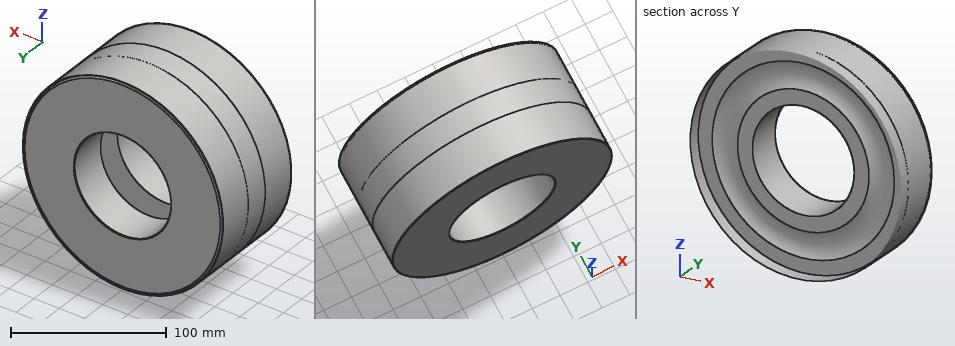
import cadquery as cq

outer_diameter = 158.8
bore_diameter = 76.2
total_width = 76.2
gap_width = 18.4
front_plate_diameter = 157.8
rear_plate_diameter = 157.3
rear_face_diameter = 154.6
sleeve_setback = 0.5
bore_chamfer = 0.5
groove_centre_radius = 58.7
groove_half_width = 9.5
groove_depth = 3.2

half_width = total_width / 2
half_gap = gap_width / 2
rim_chamfer = (rear_plate_diameter - rear_face_diameter) / 2

bore_edge = cq.selectors.RadiusNthSelector(0)
rim_edge = cq.selectors.RadiusNthSelector(-1)


def ring(inner_diameter, ring_diameter, start_y, end_y):
    """Plain ring about Y between two places along the axis."""
    sketch = cq.Workplane("XZ", origin=(0, end_y, 0)).circle(ring_diameter / 2).circle(inner_diameter / 2)
    return sketch.extrude(end_y - start_y)


def make_front_plate():
    """Plain thick ring with a chamfered bore mouth."""
    plate = ring(bore_diameter, front_plate_diameter, -half_width, -half_gap)
    return plate.faces("<Y").edges(bore_edge).chamfer(bore_chamfer)


def raceway_cutter():
    """Circular segment turned about Y; its arc is the floor of the groove."""
    return (
        cq.Workplane("XY")
        .moveTo(groove_centre_radius - groove_half_width, half_gap)
        .threePointArc(
            (groove_centre_radius, half_gap + groove_depth),
            (groove_centre_radius + groove_half_width, half_gap),
        )
        .close()
        .revolve(360, (0, 0, 0), (0, 1, 0))
    )


def make_rear_plate():
    """Thick ring with a raceway groove facing the gap and chamfered rear edges."""
    plate = ring(bore_diameter, rear_plate_diameter, half_gap, half_width)
    plate = plate.faces(">Y").edges(bore_edge).chamfer(bore_chamfer)
    plate = plate.faces(">Y").edges(rim_edge).chamfer(rim_chamfer)
    return plate.cut(raceway_cutter())


def make_sleeve():
    """Thin sleeve wrapped around both plates and the gap between them."""
    sleeve_end = half_width - sleeve_setback
    return ring(front_plate_diameter, outer_diameter, -sleeve_end, sleeve_end)


front_plate = make_front_plate()
rear_plate = make_rear_plate()
sleeve = make_sleeve()

result = cq.Compound.makeCompound([
    front_plate.val(),
    rear_plate.val(),
    sleeve.val(),
])